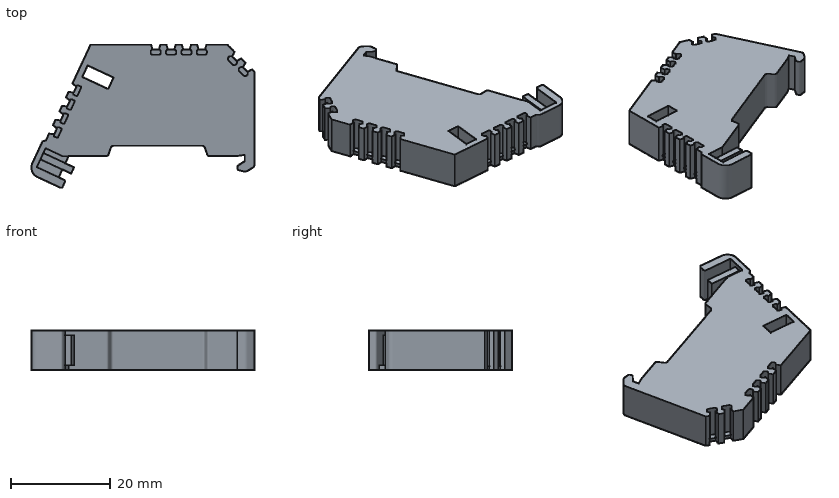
import cadquery as cq
import math

WIDTH = 8.0
RIGHT_X = 45.1
TOP_Y = 28.94
FOOT_Y = 6.42
CORNER_CHAMFER = 5.55

RECESS_TOP_Y = 8.46
RECESS_CENTER_X = 25.55
RECESS_BOTTOM_WIDTH = 20.1
RECESS_TOP_WIDTH = 18.7
RECESS_FILLET = 0.5

HOOK_INNER_X = 43.07
HOOK_TIP_X = 41.6
HOOK_ROOT_Y = 6.63
HOOK_NOSE_TOP_Y = 4.45
HOOK_NOSE_BOTTOM_Y = 3.6
HOOK_SHOULDER_Y = 5.39
HOOK_LOW_X = 43.3
HOOK_LOW_Y = 3.22
HOOK_HEEL_Y = 4.28
HOOK_NOSE_FILLET = 0.4
HOOK_LOW_FILLET = 0.95
HOOK_HEEL_FILLET = 1.0

FLANK_TILT = 25.0
FLANK_TOP_X = 11.96

WINDOW_INSET = 1.28
WINDOW_LENGTH = 5.73
WINDOW_START = 4.1
WINDOW_HEIGHT = 2.52

LATCH_OFFSET = 0.54
LATCH_STEP_START = 21.35
LATCH_STEP_END = 21.8
LATCH_STEP_FILLET = 0.25
LATCH_BOTTOM = 28.79
LATCH_REACH = 7.06
LATCH_ARM_THICKNESS = 1.78
LATCH_BEND_RADIUS = 2.12
LATCH_TIP_FILLET = 0.4

POCKET_INSET = 0.63
POCKET_START = 22.81
POCKET_END = LATCH_BOTTOM - LATCH_ARM_THICKNESS
POCKET_FLOOR = 0.95
WEB_REACH = 5.53
WEB_START = POCKET_START - 0.9

TONGUE_START = 23.86
TONGUE_END = 25.28
TONGUE_REACH = 7.48
TONGUE_TOP_Z = WIDTH - POCKET_FLOOR

SLOT_PITCH = 3.1
MOUTH_WIDTH = 1.85
MOUTH_NECK_WIDTH = 1.27
MOUTH_DEPTH = 1.0
GROOVE_LENGTH = 2.1
GROOVE_FLOOR = 0.8
GROOVE_WIDTH = 1.1
GROOVE_CORNER = 0.5
FLANK_GROOVE_WIDTH = 0.97
FLANK_GROOVE_CORNER = 0.22

TOP_SLOT_COUNT = 4
TOP_SLOT_FIRST_X = 25.12
FLANK_SLOT_COUNT = 4
FLANK_SLOT_FIRST = 9.58
CHAMFER_SLOT_COUNT = 2
CHAMFER_SLOT_FIRST = 3.05
CHAMFER_ANGLE = -45.0

FLANK_DIRECTION = 90.0 - FLANK_TILT


def along(start, angle, distance):
    """Point at a distance from start in the direction given in degrees."""
    direction = math.radians(angle)
    return (start[0] + distance * math.cos(direction), start[1] + distance * math.sin(direction))


def flank_point(inward, down):
    """Point given by its distance inward from the flank line and down along it."""
    on_flank = along((FLANK_TOP_X, TOP_Y), FLANK_DIRECTION, -down)
    return along(on_flank, -FLANK_TILT, inward)


def prism(points, z_start=0.0, z_end=WIDTH):
    """Extrude a closed polygon between two heights."""
    return cq.Workplane("XY").workplane(offset=z_start).polyline(points).close().extrude(z_end - z_start)


def flank_block(inward_range, down_range, z_start=0.0, z_end=WIDTH):
    """Box aligned with the flank."""
    (near, far), (upper, lower) = inward_range, down_range
    corners = [(near, upper), (far, upper), (far, lower), (near, lower)]
    return prism([flank_point(*corner) for corner in corners], z_start, z_end)


def round_corners(solid, points, radius):
    """Fillet the edges parallel to Z that pass through the given points."""
    for x, y in points:
        corner = cq.selectors.NearestToPointSelector((x, y, WIDTH / 2))
        solid = solid.edges("|Z").edges(corner).fillet(radius)
    return solid


def pocket_mouth_point():
    """Where the upper pocket wall line meets the underside of the left foot."""
    start = flank_point(0, POCKET_START)
    return along(start, -FLANK_TILT, (start[1] - FOOT_Y) / math.sin(math.radians(FLANK_TILT)))


def make_housing():
    """Housing with feet, rail recess, fixed hook and the outside of the latch."""
    recess_bottom = [RECESS_CENTER_X + side * RECESS_BOTTOM_WIDTH / 2 for side in (-1, 1)]
    recess_top = [RECESS_CENTER_X + side * RECESS_TOP_WIDTH / 2 for side in (-1, 1)]
    recess = [
        (recess_bottom[0], FOOT_Y),
        (recess_top[0], RECESS_TOP_Y),
        (recess_top[1], RECESS_TOP_Y),
        (recess_bottom[1], FOOT_Y),
    ]
    hook_nose = [(HOOK_TIP_X, HOOK_NOSE_TOP_Y), (HOOK_TIP_X, HOOK_NOSE_BOTTOM_Y)]
    hook_low = (HOOK_LOW_X, HOOK_LOW_Y)
    hook_heel = (RIGHT_X, HOOK_HEEL_Y)
    hook = [
        (HOOK_TIP_X, FOOT_Y),
        (HOOK_INNER_X, HOOK_ROOT_Y),
        (HOOK_INNER_X, HOOK_SHOULDER_Y),
        *hook_nose,
        hook_low,
        hook_heel,
    ]
    latch_step = [flank_point(0, LATCH_STEP_START), flank_point(-LATCH_OFFSET, LATCH_STEP_END)]
    latch_bend = flank_point(-LATCH_OFFSET, LATCH_BOTTOM)
    latch_tip = [flank_point(LATCH_REACH, LATCH_BOTTOM), flank_point(LATCH_REACH, POCKET_END)]
    outline = [
        (FLANK_TOP_X, TOP_Y),
        *latch_step,
        latch_bend,
        *latch_tip,
        flank_point(POCKET_INSET, POCKET_END),
        flank_point(POCKET_INSET, POCKET_START),
        pocket_mouth_point(),
        *recess,
        *hook,
        (RIGHT_X, TOP_Y - CORNER_CHAMFER),
        (RIGHT_X - CORNER_CHAMFER, TOP_Y),
    ]
    housing = prism(outline)
    housing = round_corners(housing, latch_step, LATCH_STEP_FILLET)
    housing = round_corners(housing, [latch_bend], LATCH_BEND_RADIUS)
    housing = round_corners(housing, latch_tip, LATCH_TIP_FILLET)
    housing = round_corners(housing, recess, RECESS_FILLET)
    housing = round_corners(housing, hook_nose, HOOK_NOSE_FILLET)
    housing = round_corners(housing, [hook_low], HOOK_LOW_FILLET)
    return round_corners(housing, [hook_heel], HOOK_HEEL_FILLET)


def make_latch_inside():
    """Thin web closing the latch pocket and the tongue standing on it."""
    web = flank_block((0, WEB_REACH), (WEB_START, POCKET_END), 0, POCKET_FLOOR)
    tongue = flank_block((0, TONGUE_REACH), (TONGUE_START, TONGUE_END), POCKET_FLOOR, TONGUE_TOP_Z)
    return web.union(tongue)


def make_slot(center, angle, groove_width, groove_corner):
    """Cutter for one marker slot; the angle is the edge direction with material on its right."""
    mouth = prism([
        (-MOUTH_WIDTH / 2, 0),
        (MOUTH_WIDTH / 2, 0),
        (MOUTH_NECK_WIDTH / 2, -MOUTH_DEPTH),
        (-MOUTH_NECK_WIDTH / 2, -MOUTH_DEPTH),
    ])
    groove = (
        cq.Workplane("XY")
        .workplane(offset=GROOVE_FLOOR)
        .center(0, -MOUTH_DEPTH - groove_width / 2)
        .rect(GROOVE_LENGTH, groove_width)
        .extrude(WIDTH - GROOVE_FLOOR)
        .edges("|Z")
        .fillet(groove_corner)
    )
    slot = mouth.union(groove)
    return slot.rotate((0, 0, 0), (0, 0, 1), angle).translate((*center, 0))


def cut_slot_row(solid, first, angle, step, count, groove_width=GROOVE_WIDTH, groove_corner=GROOVE_CORNER):
    """Cut a row of marker slots spaced by a signed step along an edge."""
    for index in range(count):
        center = along(first, angle, index * step)
        solid = solid.cut(make_slot(center, angle, groove_width, groove_corner))
    return solid


def make_window():
    """Cutter for the rectangular through window."""
    return flank_block(
        (WINDOW_INSET, WINDOW_INSET + WINDOW_LENGTH),
        (WINDOW_START, WINDOW_START + WINDOW_HEIGHT),
    )


chamfer_top = (RIGHT_X - CORNER_CHAMFER, TOP_Y)
first_chamfer_slot = along(chamfer_top, CHAMFER_ANGLE, CHAMFER_SLOT_FIRST)
first_flank_slot = flank_point(0, FLANK_SLOT_FIRST)

result = make_housing().union(make_latch_inside()).cut(make_window())
result = cut_slot_row(result, (TOP_SLOT_FIRST_X, TOP_Y), 0, SLOT_PITCH, TOP_SLOT_COUNT)
result = cut_slot_row(result, first_chamfer_slot, CHAMFER_ANGLE, SLOT_PITCH, CHAMFER_SLOT_COUNT)
result = cut_slot_row(
    result,
    first_flank_slot,
    FLANK_DIRECTION,
    -SLOT_PITCH,
    FLANK_SLOT_COUNT,
    FLANK_GROOVE_WIDTH,
    FLANK_GROOVE_CORNER,
)